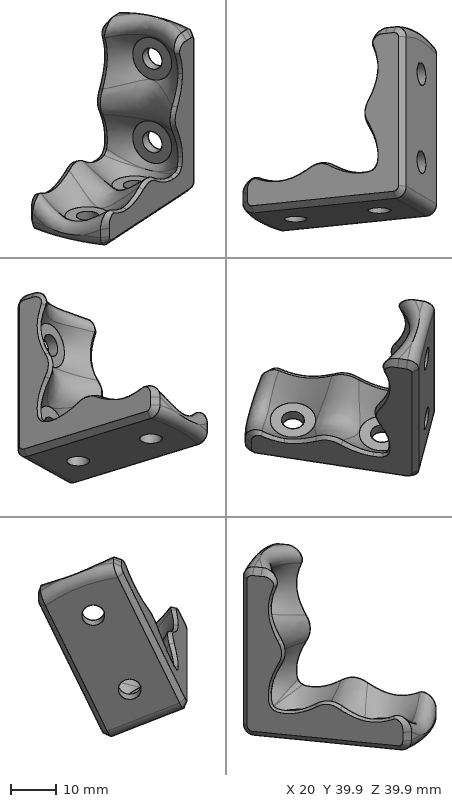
import math

import cadquery as cq

WIDTH = 20.0
LEG_LENGTH = 40.0
END_RADIUS = 37.0
BLANK_THICKNESS = 14.0

HOLE_DIAMETER = 5.0
SEAT_DIAMETER = 10.0
SEAT_HEIGHT = 2.5
BOWL_SLOPE = 45.0
HOLE_DISTANCES = (LEG_LENGTH / 4, LEG_LENGTH * 3 / 4)

RIDGE_FILLET = 7.0
RIM_FILLET = 2.5
VALLEY_FILLET = 2.0
OUTER_ROUND = 2.5
SIDE_CHAMFER = 1.3

HALF_WIDTH = WIDTH / 2
RIDGE_DISTANCE = sum(HOLE_DISTANCES) / 2
END_SAGITTA = END_RADIUS - math.sqrt(END_RADIUS**2 - HALF_WIDTH**2)
CLEARANCE = 1.0

LEG_SWAP_NORMAL = cq.Vector(0, 1, 1)


def edge_box(y_range, z_range):
    """Selector for the edges centred in a box that leaves out both side faces."""
    reach = HALF_WIDTH - CLEARANCE
    return cq.selectors.BoxSelector(
        (-reach, y_range[0], z_range[0]),
        (reach, y_range[1], z_range[1]),
    )


def leg_blank():
    """Thick floor leg whose free end is a shallow arc in plan."""
    shoulder_y = END_SAGITTA - LEG_LENGTH
    return (
        cq.Workplane("XY")
        .moveTo(-HALF_WIDTH, 0)
        .lineTo(HALF_WIDTH, 0)
        .lineTo(HALF_WIDTH, shoulder_y)
        .threePointArc((0, -LEG_LENGTH), (-HALF_WIDTH, shoulder_y))
        .close()
        .extrude(BLANK_THICKNESS)
    )


def bowl(distance):
    """Conical tool with a flat bottom on the screw seat, opening upward."""
    seat_radius = SEAT_DIAMETER / 2
    rim_radius = seat_radius + BLANK_THICKNESS / math.tan(math.radians(BOWL_SLOPE))
    seat_center = cq.Vector(0, -distance, SEAT_HEIGHT)
    cone = cq.Solid.makeCone(seat_radius, rim_radius, BLANK_THICKNESS, seat_center)
    return cq.Workplane(cone)


def screw_hole(distance):
    """Clearance hole tool through the seat of one bowl."""
    start = cq.Vector(0, -distance, -CLEARANCE)
    depth = SEAT_HEIGHT + 2 * CLEARANCE
    return cq.Workplane(cq.Solid.makeCylinder(HOLE_DIAMETER / 2, depth, start))


def end_round():
    """Ring tool that rounds the lower edge of the crowned end."""
    tangent_radius = END_RADIUS - OUTER_ROUND
    outside = END_RADIUS + CLEARANCE
    return (
        cq.Workplane("XZ")
        .moveTo(tangent_radius, 0)
        .radiusArc((END_RADIUS, OUTER_ROUND), -OUTER_ROUND)
        .lineTo(outside, OUTER_ROUND)
        .lineTo(outside, -CLEARANCE)
        .lineTo(tangent_radius, -CLEARANCE)
        .close()
        .revolve(360, (0, 0, 0), (0, 1, 0))
        .translate((0, END_RADIUS - LEG_LENGTH, 0))
    )


def floor_leg():
    """Leg with bowls, rounded ridge and rim, and screw holes."""
    leg = leg_blank()
    for distance in HOLE_DISTANCES:
        leg = leg.cut(bowl(distance))

    above_seat = (SEAT_HEIGHT + CLEARANCE, BLANK_THICKNESS)
    ridge_range = (-RIDGE_DISTANCE - CLEARANCE, -RIDGE_DISTANCE + CLEARANCE)
    leg = leg.edges(edge_box(ridge_range, above_seat)).fillet(RIDGE_FILLET)

    end_range = (-LEG_LENGTH - CLEARANCE, -LEG_LENGTH + CLEARANCE)
    leg = leg.edges(edge_box(end_range, above_seat)).fillet(RIM_FILLET)

    leg = leg.cut(end_round())
    for distance in HOLE_DISTANCES:
        leg = leg.cut(screw_hole(distance))
    return leg


def join_legs(leg):
    """Floor leg and its mirrored twin, rounded inside and outside the corner."""
    bracket = leg.union(leg.mirror(LEG_SWAP_NORMAL))

    valley_far = HOLE_DISTANCES[0] - CLEARANCE
    valley = edge_box((-valley_far, -SEAT_HEIGHT), (SEAT_HEIGHT, valley_far))
    bracket = bracket.edges(valley).fillet(VALLEY_FILLET)

    corner = edge_box((-CLEARANCE, CLEARANCE), (-CLEARANCE, CLEARANCE))
    return bracket.edges("|X").edges(corner).fillet(OUTER_ROUND)


bracket = join_legs(floor_leg())
result = bracket.faces("<X or >X").edges().chamfer(SIDE_CHAMFER)